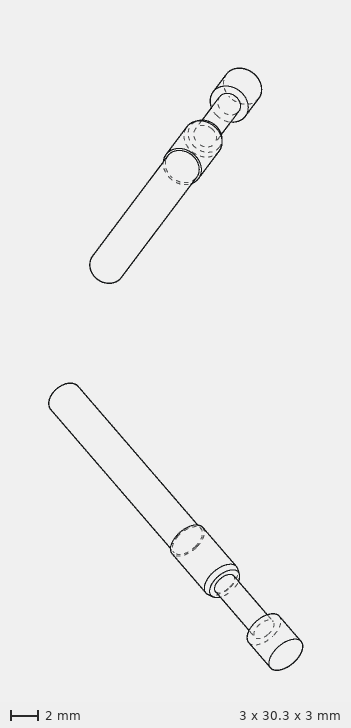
import cadquery as cq

total_length = 30.3

head_diameter = 3.0
neck_diameter = 1.8
collar_diameter = head_diameter
body_diameter = 2.67

head_length = 2.97
neck_length = 5.3
collar_length = 5.03

collar_taper_length = 0.45
collar_tip_diameter = body_diameter
tail_round = 0.42

head_start = total_length - head_length
collar_end = head_start - neck_length
collar_start = collar_end - collar_length


def cylinder(diameter, start, end):
    """Solid cylinder on the Y axis between two stations."""
    return cq.Workplane("XZ", origin=(0, start, 0)).circle(diameter / 2).extrude(start - end)


def make_body():
    """Long barrel with a rounded tail edge."""
    return cylinder(body_diameter, 0, collar_start).faces("<Y").edges().fillet(tail_round)


def make_collar():
    """Collar that tapers to a smaller diameter next to the neck."""
    taper_depth = (collar_diameter - collar_tip_diameter) / 2
    collar = cylinder(collar_diameter, collar_start, collar_end)
    return collar.faces(">Y").edges().chamfer(collar_taper_length, taper_depth)


neck = cylinder(neck_diameter, collar_end, head_start)
head = cylinder(head_diameter, head_start, total_length)

result = make_body().union(make_collar()).union(neck).union(head)